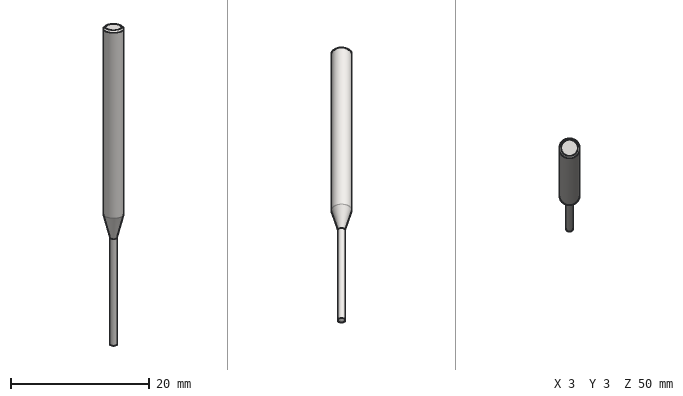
import cadquery as cq

total_length = 50.0
shank_diameter = 3.0
neck_diameter = 1.1
drill_length = 17.0
neck_land_length = 0.15
taper_length = 3.55
end_chamfer = 0.3
tip_height = 0.3

shank_radius = shank_diameter / 2
neck_radius = neck_diameter / 2
taper_bottom = drill_length + neck_land_length
taper_top = taper_bottom + taper_length


def make_shank():
    """Cylindrical shank with a chamfered end and a taper to a short land above the drill."""
    profile = (
        cq.Workplane("XZ")
        .moveTo(0, drill_length)
        .lineTo(neck_radius, drill_length)
        .lineTo(neck_radius, taper_bottom)
        .lineTo(shank_radius, taper_top)
        .lineTo(shank_radius, total_length - end_chamfer)
        .lineTo(shank_radius - end_chamfer, total_length)
        .lineTo(0, total_length)
        .close()
    )
    return profile.revolve(360, (0, 0), (0, 1))


def make_drill():
    """Slender drill with a conical tip that meets the small end of the shank."""
    profile = (
        cq.Workplane("XZ")
        .lineTo(neck_radius, tip_height)
        .lineTo(neck_radius, drill_length)
        .lineTo(0, drill_length)
        .close()
    )
    return profile.revolve(360, (0, 0), (0, 1))


shank = make_shank()
drill = make_drill()

result = cq.Compound.makeCompound([shank.val(), drill.val()])